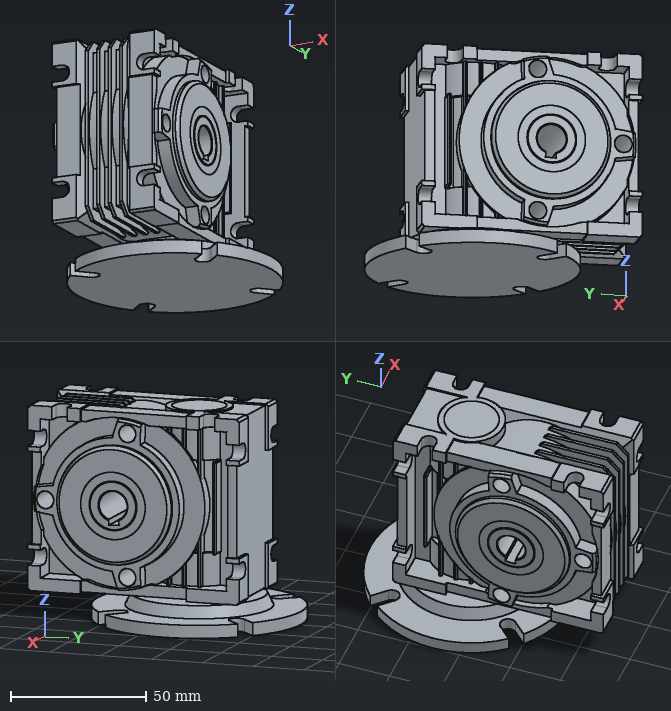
import cadquery as cq
import math

CENTRE_DISTANCE = 25.0

FRAME_X = 21.1
CORE_X = 11.0
FRAME_BACK = 48.1
FRAME_FRONT = -35.0
FRAME_Z = 35.0
FRAME_CHAMFER = 1.0
WALL = 5.0
WINDOW_Z = FRAME_Z - WALL
WINDOW_BACK = FRAME_BACK - WALL
WINDOW_FRONT = FRAME_FRONT + WALL

RELIEF = 1.3
TOP_RELIEF = 0.6
RELIEF_Z = 17.5
RELIEF_BACK = 27.4
RELIEF_FRONT = -14.3
RELIEVED_BACK = FRAME_BACK - RELIEF
RELIEVED_Z = FRAME_Z - TOP_RELIEF

SLOT_WIDTH = 6.0
SLOT_INSET = 12.6
SLOT_CENTRE_X = 17.0

CHANNEL_X = 7.5
FIN_WIDTH = 1.2
FIN_PITCH = 4.7
FIN_COUNT = 4
FIN_FRONT = -34.2
FIN_TOP = RELIEVED_Z
FIN_CHAMFER = 4.5
FIN_START = -2.9
FIN_LEAD = 1.2

DRUM_RADIUS = 33.4
DRUM_X = 17.3
RING_RADIUS = 25.2
RING_X = 22.5
SPIGOT_RADIUS = 22.5
SPIGOT_X = 25.0
SPIGOT_CHAMFER = 1.3
EAR_RADIUS = 32.4
EAR_CHAMFER = 1.0
EAR_ROOT_HALF_WIDTH = 5.6
EAR_TIP_HALF_WIDTH = 4.5
EAR_ANGLES = (-100, 0, 100)
EAR_HOLE_CIRCLE = 27.5
EAR_HOLE_RADIUS = 3.3

WORM_RADIUS = 16.4
WORM_WAIST_RADIUS = 14.5
COLLAR_RADIUS = 12.5
COLLAR_LIP = 0.6
RIB_WIDTH = 1.3
RIB_BEVEL = 0.4
RIB_PITCH = 6.0
LONG_RIB_STEPS = (-1, 0, 1)
SHORT_RIB_STEP = 2

CAP_RADIUS = 10.2
CAP_THICKNESS = 5.0

HUB_RADIUS = 12.7
SHAFT_RADIUS = 9.3
BORE_RADIUS = 5.5
EDGE_CHAMFER = 0.3
KEY_WIDTH = 4.0
KEY_DEPTH = 7.3
KEY_TILT = 3.0

FLANGE_RADIUS = 40.0
FLANGE_THICKNESS = 5.0
CONE_HEIGHT = 4.5
CONE_BASE_RADIUS = 27.5
CONE_TOP_RADIUS = 25.2
FLANGE_SLOT_CIRCLE = 32.5
FLANGE_SLOT_WIDTH = 6.0
FLANGE_SLOT_ANGLES = (45, 135, 225, 315)


def block(x0, x1, y0, y1, z0, z1):
    """Box between two opposite corners."""
    return cq.Workplane("XY").box(x1 - x0, y1 - y0, z1 - z0, centered=False).translate((x0, y0, z0))


def wheel_cylinder(radius, x0, x1):
    """Cylinder on the wheel axis from x0 to x1."""
    return cq.Workplane("YZ").workplane(offset=x0).circle(radius).extrude(x1 - x0)


def worm_cylinder(radius, z0, z1):
    """Cylinder on the worm axis from z0 to z1."""
    return cq.Workplane("XY").workplane(offset=z0).center(0, CENTRE_DISTANCE).circle(radius).extrude(z1 - z0)


def both_sides(shape):
    """The shape together with its mirror image across the YZ plane."""
    return shape.union(shape.mirror("YZ"))


def make_plate():
    """Upright frame plate on the +X side, with its window."""
    plate = block(CORE_X, FRAME_X, FRAME_FRONT, FRAME_BACK, -FRAME_Z, FRAME_Z)
    plate = plate.edges("|X").chamfer(FRAME_CHAMFER)
    window = block(CORE_X, FRAME_X, WINDOW_FRONT, WINDOW_BACK, -WINDOW_Z, WINDOW_Z)
    return plate.cut(window)


def make_flank_limit():
    """Chamfered outline of the frame, which also bounds the flanks."""
    limit = block(CHANNEL_X, CORE_X, FRAME_FRONT, FRAME_BACK, -FRAME_Z, FRAME_Z)
    return limit.edges("|X").chamfer(FRAME_CHAMFER)


def make_core_flank():
    """Sloping flank that widens the core from the channel floor to the +X plate."""
    floor_length = CENTRE_DISTANCE - WINDOW_FRONT
    rim_length = CENTRE_DISTANCE - FRAME_FRONT
    return (
        cq.Workplane("YZ").workplane(offset=CHANNEL_X)
        .center(CENTRE_DISTANCE - floor_length / 2, 0).rect(floor_length, 2 * WINDOW_Z)
        .workplane(offset=CORE_X - CHANNEL_X)
        .center((floor_length - rim_length) / 2, 0).rect(rim_length, 2 * FRAME_Z)
        .loft(combine=True)
    ).intersect(make_flank_limit())


def make_core():
    """Core between the plates: narrow under the wheel channel, full width behind the worm axis."""
    front = block(-CHANNEL_X, CHANNEL_X, WINDOW_FRONT, CENTRE_DISTANCE, -WINDOW_Z, WINDOW_Z)
    back = block(-CORE_X, CORE_X, CENTRE_DISTANCE, RELIEVED_BACK, -RELIEVED_Z, RELIEVED_Z)
    return front.union(back)


def make_reliefs():
    """Material to remove between the corner blocks on the +X side."""
    side = FRAME_X - RELIEF
    front = FRAME_FRONT + RELIEF
    reliefs = block(side, FRAME_X, FRAME_FRONT, FRAME_BACK, -RELIEF_Z, RELIEF_Z)
    reliefs = reliefs.union(block(side, FRAME_X, RELIEF_FRONT, RELIEF_BACK, -FRAME_Z, FRAME_Z))
    reliefs = reliefs.union(block(0, FRAME_X, FRAME_FRONT, front, -RELIEF_Z, RELIEF_Z))
    reliefs = reliefs.union(block(0, FRAME_X, RELIEVED_BACK, FRAME_BACK, -RELIEF_Z, RELIEF_Z))
    for z0 in (RELIEVED_Z, -FRAME_Z):
        reliefs = reliefs.union(block(0, FRAME_X, RELIEF_FRONT, RELIEF_BACK, z0, z0 + TOP_RELIEF))
    return reliefs


def slot_cutter(length):
    """Open slot along +X, with its round end centred on the origin, cut along +Z."""
    reach = FRAME_X - SLOT_CENTRE_X
    channel = block(0, reach, -SLOT_WIDTH / 2, SLOT_WIDTH / 2, 0, length)
    return channel.union(cq.Workplane("XY").circle(SLOT_WIDTH / 2).extrude(length))


def make_bolt_slots():
    """Open slots through the top, front and back walls of the +X plate."""
    top_slot = slot_cutter(WALL)
    end_slot = top_slot.rotate((0, 0, 0), (1, 0, 0), 90)
    slot_z = FRAME_Z - SLOT_INSET
    slots = cq.Workplane("XY")
    for y in (FRAME_FRONT + SLOT_INSET, FRAME_BACK - SLOT_INSET):
        slots = slots.union(top_slot.translate((SLOT_CENTRE_X, y, WINDOW_Z)))
    for z in (-slot_z, slot_z):
        for y in (WINDOW_FRONT, FRAME_BACK):
            slots = slots.union(end_slot.translate((SLOT_CENTRE_X, y, z)))
    return slots


def make_rib(half_height):
    """Upright rib across the worm chamber, with its tips and ends bevelled to a ridge."""
    half_width = RIB_WIDTH / 2

    def ridged_strip(plane, reach):
        shoulder = reach - RIB_BEVEL
        outline = [
            (shoulder, -half_width),
            (reach, 0),
            (shoulder, half_width),
            (-shoulder, half_width),
            (-reach, 0),
            (-shoulder, -half_width),
        ]
        depth = max(DRUM_X, half_height)
        return cq.Workplane(plane).polyline(outline).close().extrude(depth, both=True)

    return ridged_strip("XY", DRUM_X).intersect(ridged_strip("ZY", half_height))


def make_worm_chamber():
    """Stepped worm cylinder and its upright ribs."""
    chamber = worm_cylinder(WORM_WAIST_RADIUS, -RELIEF_Z, RELIEF_Z)
    for z0, z1 in ((RELIEF_Z, WINDOW_Z), (-WINDOW_Z, -RELIEF_Z)):
        chamber = chamber.union(worm_cylinder(WORM_RADIUS, z0, z1))
    for step in (*LONG_RIB_STEPS, SHORT_RIB_STEP):
        y = CENTRE_DISTANCE + step * RIB_PITCH
        half_height = RELIEF_Z if step == SHORT_RIB_STEP else WINDOW_Z + RIB_BEVEL
        chamber = chamber.union(make_rib(half_height).translate((0, y, 0)))
    return chamber


def make_fins():
    """Cooling fins that wrap around the top, front and bottom of the wheel chamber."""
    profile = [
        (0, WINDOW_Z),
        (FIN_START, math.sqrt(DRUM_RADIUS**2 - FIN_START**2)),
        (FIN_START - FIN_LEAD, FIN_TOP),
        (FIN_FRONT + FIN_CHAMFER, FIN_TOP),
        (FIN_FRONT, FIN_TOP - FIN_CHAMFER),
    ]
    mirrored = [(y, -z) for y, z in reversed(profile)]
    fins = cq.Workplane("XY")
    for index in range(FIN_COUNT):
        x = (index - (FIN_COUNT - 1) / 2) * FIN_PITCH - FIN_WIDTH / 2
        fin = cq.Workplane("YZ").workplane(offset=x).polyline(profile + mirrored).close().extrude(FIN_WIDTH)
        fins = fins.union(fin)
    return fins


def make_ear():
    """Tapered mounting ear of the +X side, pointing along -Y."""
    root = -math.sqrt(RING_RADIUS**2 - EAR_ROOT_HALF_WIDTH**2)
    outline = [
        (root, -EAR_ROOT_HALF_WIDTH),
        (-EAR_RADIUS, -EAR_TIP_HALF_WIDTH),
        (-EAR_RADIUS, EAR_TIP_HALF_WIDTH),
        (root, EAR_ROOT_HALF_WIDTH),
    ]
    ear = cq.Workplane("YZ").workplane(offset=DRUM_X).polyline(outline).close().extrude(RING_X - DRUM_X)
    return ear.intersect(wheel_cylinder(EAR_RADIUS, DRUM_X, RING_X).faces(">X").chamfer(EAR_CHAMFER))


def make_cover():
    """Ring, ears and chamfered spigot standing on the drum's +X face."""
    cover = wheel_cylinder(RING_RADIUS, DRUM_X, RING_X)
    spigot = wheel_cylinder(SPIGOT_RADIUS, DRUM_X, SPIGOT_X)
    cover = cover.union(spigot.faces(">X").chamfer(SPIGOT_CHAMFER))
    for angle in EAR_ANGLES:
        cover = cover.union(make_ear().rotate((0, 0, 0), (1, 0, 0), angle))
    return cover


def make_ear_holes():
    """Holes through the whole gearbox, one on each ear."""
    holes = cq.Workplane("XY")
    for angle in EAR_ANGLES:
        hole = wheel_cylinder(EAR_HOLE_RADIUS, -RING_X, RING_X).translate((0, -EAR_HOLE_CIRCLE, 0))
        holes = holes.union(hole.rotate((0, 0, 0), (1, 0, 0), angle))
    return holes


def make_housing():
    """Gearbox housing with openings for the cap and the output hub."""
    frame = make_plate().union(make_core_flank()).cut(make_reliefs()).cut(make_bolt_slots())
    housing = both_sides(frame)
    housing = housing.union(make_core())
    housing = housing.union(make_worm_chamber())
    housing = housing.union(wheel_cylinder(DRUM_RADIUS, -DRUM_X, DRUM_X))
    housing = housing.cut(both_sides(wheel_cylinder(EAR_RADIUS, DRUM_X, FRAME_X)))
    housing = housing.union(make_fins())
    housing = housing.union(both_sides(make_cover()))
    housing = housing.union(worm_cylinder(COLLAR_RADIUS, -FRAME_Z - COLLAR_LIP, FRAME_Z))
    housing = housing.cut(make_ear_holes())
    housing = housing.cut(worm_cylinder(CAP_RADIUS, FRAME_Z - CAP_THICKNESS, FRAME_Z))
    return housing.cut(wheel_cylinder(HUB_RADIUS, -SPIGOT_X, SPIGOT_X))


def make_cap():
    """Disc that closes the top of the worm bore."""
    return worm_cylinder(CAP_RADIUS, FRAME_Z - CAP_THICKNESS, FRAME_Z)


def make_hub():
    """Output hub with a keyed bore and a fine groove around the shaft at each end."""
    wall_profile = [
        (0, BORE_RADIUS),
        (SPIGOT_X - EDGE_CHAMFER, BORE_RADIUS),
        (SPIGOT_X, BORE_RADIUS + EDGE_CHAMFER),
        (SPIGOT_X, SHAFT_RADIUS - EDGE_CHAMFER),
        (SPIGOT_X - EDGE_CHAMFER, SHAFT_RADIUS),
        (SPIGOT_X, SHAFT_RADIUS),
        (SPIGOT_X, HUB_RADIUS),
        (0, HUB_RADIUS),
    ]
    half = cq.Workplane("XY").polyline(wall_profile).close().revolve(360, (0, 0, 0), (1, 0, 0))
    keyway = block(-SPIGOT_X, SPIGOT_X, -KEY_WIDTH / 2, KEY_WIDTH / 2, -KEY_DEPTH, 0)
    return both_sides(half).cut(keyway.rotate((0, 0, 0), (1, 0, 0), KEY_TILT))


def make_flange():
    """Round motor flange with a conical neck and four open slots."""
    cone_top = -FRAME_Z - COLLAR_LIP
    plate_top = cone_top - CONE_HEIGHT
    plate_bottom = plate_top - FLANGE_THICKNESS
    plate = cq.Workplane("XY").workplane(offset=plate_bottom).circle(FLANGE_RADIUS).extrude(FLANGE_THICKNESS)
    neck = (
        cq.Workplane("XY").workplane(offset=plate_top).circle(CONE_BASE_RADIUS)
        .workplane(offset=CONE_HEIGHT).circle(CONE_TOP_RADIUS).loft(combine=True)
    )
    half_width = FLANGE_SLOT_WIDTH / 2
    slot = block(FLANGE_SLOT_CIRCLE, FLANGE_RADIUS, -half_width, half_width, plate_bottom, plate_top)
    slot_end = cq.Workplane("XY").workplane(offset=plate_bottom).circle(half_width).extrude(FLANGE_THICKNESS)
    slot = slot.union(slot_end.translate((FLANGE_SLOT_CIRCLE, 0, 0)))
    for angle in FLANGE_SLOT_ANGLES:
        plate = plate.cut(slot.rotate((0, 0, 0), (0, 0, 1), angle))
    return plate.union(neck).translate((0, CENTRE_DISTANCE, 0))


housing = make_housing()
cap = make_cap()
hub = make_hub()
flange = make_flange()

result = cq.Compound.makeCompound([body.solids().val() for body in (housing, cap, hub, flange)])